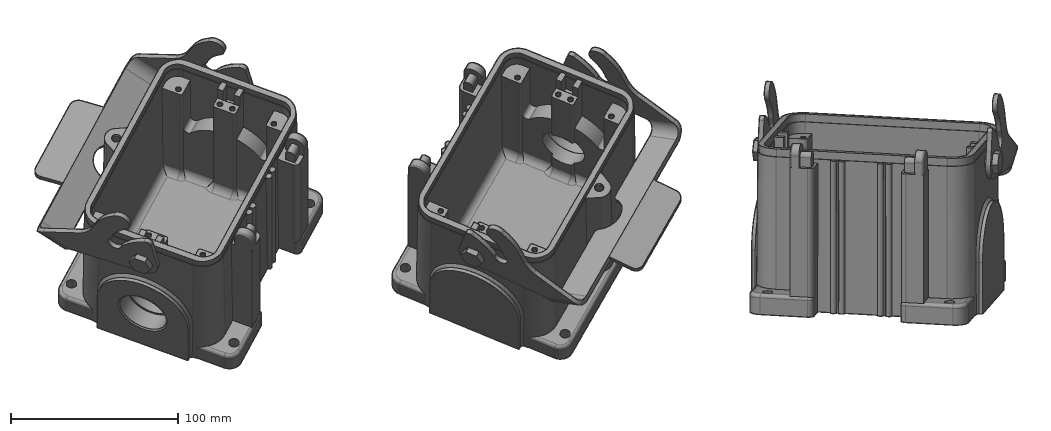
import cadquery as cq
import math

SLACK = 1.5

RIM_X, RIM_Y = 88.8, 131.5
RIM_CORNER = 13.5
BODY_TOP_Z = 94.0
RIM_TOP_Z = 98.8
BODY_STEP = 0.5
BODY_DRAFT = 0.6
CAVITY_X, CAVITY_Y = 81.0, 123.0
CAVITY_CORNER = 8.2
CAVITY_DRAFT = 0.5
RIM_RELIEF = 0.5
FLOOR_Z = 4.5
FLOOR_FILLET = 4.8

FLANGE_X, FLANGE_Y, FLANGE_Z = 118.8, 133.5, 12.6
FLANGE_CORNER = 7.8
FLANGE_EDGE_FILLET = 2.2
FLANGE_HOLE = 6.0
FLANGE_HOLE_X, FLANGE_HOLE_Y = 53.1, 55.6
NOTCH_X = 43.5
NOTCH_HALF_Y = 26.7

ENTRY_Z = 32.0
PAD_FACE_Y = 70.6
PAD_RADIUS = 29.7
PAD_FOOT = 1.8
PAD_FOOT_Y = 68.4
ENTRY_BORE, ENTRY_INNER_BORE = 30.5, 28.0
ENTRY_BORE_DEPTH = 12.3
ENTRY_CHAMFER = 0.9
INNER_BOSS_RADIUS = 27.8
INNER_BOSS_FILLET = 2.7
INNER_BOSS_Y = 51.0

POST_TOP_Z = 87.0
POST_FACE_Y = 49.0
POST_EDGE_FILLET = 1.4
CORNER_POST_X = 27.3
CENTRE_POST_HALF_X = 7.4
POST_HOLE, POST_HOLE_MOUTH = 2.5, 3.5
POST_HOLE_DEPTH = 15.0
POST_HOLE_Y = 52.4
CORNER_POST_HOLE_X = 31.2
CENTRE_POST_HOLE_X = 4.0
PRONG_TOP_Z = 96.3
PRONG_INNER_X = 3.6
PRONG_FACE_Y = 56.0
PRONG_SLOT_DEPTH = 6.0

GUIDE_X = -48.6
GUIDE_NOSE_RADIUS = 7.0
GUIDE_HALF_WIDTH = 10.6
GUIDE_DRAFT = 0.9
GUIDE_HOLE, GUIDE_HOLE_MOUTH = 4.4, 5.5
GUIDE_HOLE_DEPTH = 30.0

LUG_X = 52.5
LUG_RADIUS = 6.0
LUG_TOP_Z = 104.8
LUG_OUTER_Y, LUG_DISC_Y, LUG_INNER_Y = 41.0, 35.4, 26.7
LUG_EDGE_FILLET = 0.9
LUG_COLUMN_Z = 91.5
LUG_BARREL_RADIUS = 3.0
LUG_BARREL_TOP_Z = 100.4
LUG_BARREL_END_Y = 28.5
LUG_CORNER = 3.3
RIB_RADIUS = 2.0
RIB_X = 45.9
RIB_YS = (11.8, 17.0)

LEVER_THICK = 3.0
LEVER_OUTER_Y = 71.2
PIVOT_Z = 86.4
PIVOT_END_RADIUS = 10.2
PIVOT_DIAMETER = 8.2
PIVOT_END_Y = 64.5
HEX_FLATS = 12.3
HEX_TOP_Y = 75.0
BEND_TOP = (-64.6, 80.0)
BEND_BOTTOM = (-47.1, 72.2)
BEND_RADIUS = 9.9
WEB_OFFSET = 2.62
RELIEF_RADIUS = 12.0
RELIEF_OFFSET = 1.0
RELIEF_FILLET = 3.0
TAB_END_X = -90.2
TAB_TOP_Z = 72.3
TAB_HALF_Y = 30.3
TAB_CORNER = 5.4


def block(x_range, y_range, z_range):
    """Box between the given limits, in either order."""
    x0, x1 = sorted(x_range)
    y0, y1 = sorted(y_range)
    z0, z1 = sorted(z_range)
    return cq.Workplane("XY").box(x1 - x0, y1 - y0, z1 - z0, centered=False).translate((x0, y0, z0))


def rounded_block(size_x, size_y, corner, z0, z1):
    """Upright block centred on the Z axis with rounded vertical edges."""
    return block((-size_x / 2, size_x / 2), (-size_y / 2, size_y / 2), (z0, z1)).edges("|Z").fillet(corner)


def rod_z(diameter, x, y, z0, z1):
    return cq.Workplane("XY", origin=(x, y, z0)).circle(diameter / 2).extrude(z1 - z0)


def screw_hole(diameter, mouth, x, y, top_z, depth):
    """Cutting tool for a blind hole in Z with a 45 degree countersunk mouth."""
    countersink = (mouth - diameter) / 2
    cone = cq.Workplane("XY", origin=(x, y, top_z)).circle(mouth / 2).extrude(-countersink, taper=45)
    return rod_z(diameter, x, y, top_z - depth, top_z).union(cone)


def along_y(y0, y1):
    """XZ workplane at the lower of two Y limits, and the distance to the other one."""
    low, high = sorted((y0, y1))
    return cq.Workplane("XZ", origin=(0, low, 0)), low - high


def rod_y(diameter, x, z, y0, y1):
    plane, distance = along_y(y0, y1)
    return plane.center(x, z).circle(diameter / 2).extrude(distance)


def arch(x, z, radius, z_foot, y0, y1):
    """Tombstone shape: half disc of the given radius on straight legs down to z_foot."""
    plane, distance = along_y(y0, y1)
    outline = (
        plane.moveTo(x - radius, z_foot)
        .lineTo(x - radius, z)
        .threePointArc((x, z + radius), (x + radius, z))
        .lineTo(x + radius, z_foot)
        .close()
    )
    return outline.extrude(distance)


def body_shell():
    growth = 2 * (BODY_STEP + BODY_TOP_Z * math.tan(math.radians(BODY_DRAFT)))
    body = (
        cq.Workplane("XY")
        .sketch()
        .rect(RIM_X + growth, RIM_Y + growth)
        .vertices()
        .fillet(RIM_CORNER + growth / 2)
        .finalize()
        .extrude(BODY_TOP_Z, taper=BODY_DRAFT)
    )
    return body.union(rounded_block(RIM_X, RIM_Y, RIM_CORNER, BODY_TOP_Z, RIM_TOP_Z))


def flange():
    plate = rounded_block(FLANGE_X, FLANGE_Y, FLANGE_CORNER, 0, FLANGE_Z)
    notch = block((NOTCH_X, FLANGE_X), (-NOTCH_HALF_Y, NOTCH_HALF_Y), (-SLACK, FLANGE_Z + SLACK))
    plate = plate.cut(notch)
    notch_mouth = cq.selectors.BoxSelector((FLANGE_X / 2 - SLACK, -NOTCH_HALF_Y - SLACK, 0),
                                           (FLANGE_X / 2 + SLACK, NOTCH_HALF_Y + SLACK, FLANGE_Z))
    plate = plate.edges("|Z").edges(notch_mouth).fillet(LUG_CORNER)
    plate = plate.faces(">Z").edges().fillet(FLANGE_EDGE_FILLET)
    for x in (-FLANGE_HOLE_X, FLANGE_HOLE_X):
        for y in (-FLANGE_HOLE_Y, FLANGE_HOLE_Y):
            plate = plate.cut(rod_z(FLANGE_HOLE, x, y, -SLACK, FLANGE_Z + SLACK))
    return plate


def guide_column():
    """Drafted column with a round nose whose flanks run tangent into the -X wall."""
    shrink = BODY_TOP_Z * math.tan(math.radians(GUIDE_DRAFT))
    nose = GUIDE_NOSE_RADIUS + shrink
    half_width = GUIDE_HALF_WIDTH + shrink
    root_x = -RIM_X / 2
    root_distance = math.hypot(root_x - GUIDE_X, half_width)
    touch = math.atan2(half_width, root_x - GUIDE_X) + math.acos(nose / root_distance)
    touch_x = GUIDE_X + nose * math.cos(touch)
    touch_y = nose * math.sin(touch)
    inside_x = -CAVITY_X / 2 - SLACK
    return (
        cq.Workplane("XY")
        .moveTo(inside_x, half_width)
        .lineTo(root_x, half_width)
        .lineTo(touch_x, touch_y)
        .threePointArc((GUIDE_X - nose, 0), (touch_x, -touch_y))
        .lineTo(root_x, -half_width)
        .lineTo(inside_x, -half_width)
        .close()
        .extrude(BODY_TOP_Z, taper=GUIDE_DRAFT)
    )


def entry_pad(side):
    root_y = side * (CAVITY_Y / 2 + SLACK)
    pad = arch(0, ENTRY_Z, PAD_RADIUS, 0, root_y, side * PAD_FACE_Y)
    foot = arch(0, ENTRY_Z, PAD_RADIUS + PAD_FOOT, 0, root_y, side * PAD_FOOT_Y)
    foot = foot.faces("<Y" if side < 0 else ">Y").edges("not <Z").chamfer(PAD_FOOT)
    return pad.union(foot)


def hinge_lug(side):
    """Column with a round-topped hinge disc and a barrel that points toward mid-length."""
    column = block((NOTCH_X, LUG_X + LUG_RADIUS), (side * LUG_INNER_Y, side * LUG_OUTER_Y), (0, LUG_COLUMN_Z))
    column = column.edges("|Z and >X").edges(">Y" if side < 0 else "<Y").fillet(LUG_CORNER)
    disc = arch(LUG_X, LUG_TOP_Z - LUG_RADIUS, LUG_RADIUS, 0, side * LUG_DISC_Y, side * LUG_OUTER_Y)
    disc = disc.faces("<Y" if side < 0 else ">Y").edges("not <Z").fillet(LUG_EDGE_FILLET)
    barrel = arch(LUG_X, LUG_BARREL_TOP_Z - LUG_BARREL_RADIUS, LUG_BARREL_RADIUS, LUG_COLUMN_Z - SLACK,
                  side * LUG_BARREL_END_Y, side * (LUG_DISC_Y + SLACK))
    return column.union(disc).union(barrel)


def wall_ribs():
    ribs = cq.Workplane("XY")
    for y in RIB_YS:
        for side in (-1, 1):
            ribs = ribs.union(rod_z(2 * RIB_RADIUS, RIB_X, side * y, 0, BODY_TOP_Z))
    return ribs


WITHIN_CAVITY = cq.selectors.BoxSelector(
    (-CAVITY_X / 2, -CAVITY_Y / 2, 0), (CAVITY_X / 2, CAVITY_Y / 2, RIM_TOP_Z))


def cavity_posts(side):
    """Two corner posts and a centre post that carries a pair of prongs."""
    y_range = (side * POST_FACE_Y, side * (CAVITY_Y / 2 + SLACK))
    prong_y_range = (side * PRONG_FACE_Y, side * (CAVITY_Y / 2 + SLACK))
    wall_x = CAVITY_X / 2 + SLACK
    posts = block((-CENTRE_POST_HALF_X, CENTRE_POST_HALF_X), y_range, (0, POST_TOP_Z))
    for x_side in (-1, 1):
        posts = posts.union(block((x_side * CORNER_POST_X, x_side * wall_x), y_range, (0, POST_TOP_Z)))
    inner_face = ">Y" if side < 0 else "<Y"
    posts = posts.faces(inner_face).edges("|Z").edges(WITHIN_CAVITY).fillet(POST_EDGE_FILLET)
    posts = posts.cut(block((-PRONG_INNER_X, PRONG_INNER_X), prong_y_range,
                            (POST_TOP_Z - PRONG_SLOT_DEPTH, POST_TOP_Z)))
    for x_side in (-1, 1):
        posts = posts.union(block((x_side * PRONG_INNER_X, x_side * CENTRE_POST_HALF_X),
                                  prong_y_range, (0, PRONG_TOP_Z)))
    return posts


def post_holes():
    holes = cq.Workplane("XY")
    for x in (CENTRE_POST_HOLE_X, CORNER_POST_HOLE_X):
        for x_side in (-1, 1):
            for y_side in (-1, 1):
                holes = holes.union(screw_hole(POST_HOLE, POST_HOLE_MOUTH, x_side * x, y_side * POST_HOLE_Y,
                                               POST_TOP_Z, POST_HOLE_DEPTH))
    return holes


def inner_boss(side):
    """Arched boss behind an entry pad that fills the bay between the corner posts."""
    fillet_x = CORNER_POST_X - INNER_BOSS_FILLET
    fillet_z = ENTRY_Z + math.sqrt((INNER_BOSS_RADIUS + INNER_BOSS_FILLET) ** 2 - fillet_x ** 2)
    share = INNER_BOSS_RADIUS / (INNER_BOSS_RADIUS + INNER_BOSS_FILLET)
    touch_x = fillet_x * share
    touch_z = ENTRY_Z + (fillet_z - ENTRY_Z) * share
    turn = (math.atan2(touch_z - fillet_z, touch_x - fillet_x)) / 2
    middle_x = fillet_x + INNER_BOSS_FILLET * math.cos(turn)
    middle_z = fillet_z + INNER_BOSS_FILLET * math.sin(turn)
    plane, distance = along_y(side * INNER_BOSS_Y, side * (CAVITY_Y / 2 + SLACK))
    outline = (
        plane.moveTo(-CORNER_POST_X, 0)
        .lineTo(-CORNER_POST_X, fillet_z)
        .threePointArc((-middle_x, middle_z), (-touch_x, touch_z))
        .threePointArc((0, ENTRY_Z + INNER_BOSS_RADIUS), (touch_x, touch_z))
        .threePointArc((middle_x, middle_z), (CORNER_POST_X, fillet_z))
        .lineTo(CORNER_POST_X, 0)
        .close()
    )
    return outline.extrude(distance)


def boss_foot(side):
    """Concave floor fillet along the foot of an inner boss, from corner post to corner post."""
    face_y = side * INNER_BOSS_Y
    toe_y = side * (INNER_BOSS_Y - FLOOR_FILLET)
    inset = FLOOR_FILLET * (1 - math.sqrt(0.5))
    foot = (
        cq.Workplane("YZ", origin=(-CORNER_POST_X, 0, 0))
        .moveTo(face_y, FLOOR_Z)
        .lineTo(toe_y, FLOOR_Z)
        .threePointArc((face_y - side * inset, FLOOR_Z + inset), (face_y, FLOOR_Z + FLOOR_FILLET))
        .close()
    )
    return foot.extrude(2 * CORNER_POST_X)


def cavity():
    """Inside space: filleted floor edge, posts and the blind bosses behind both entry pads."""
    space = (
        cq.Workplane("XY", origin=(0, 0, BODY_TOP_Z))
        .sketch()
        .rect(CAVITY_X, CAVITY_Y)
        .vertices()
        .fillet(CAVITY_CORNER)
        .finalize()
        .extrude(FLOOR_Z - BODY_TOP_Z, taper=CAVITY_DRAFT)
    )
    relief = 2 * RIM_RELIEF
    space = space.union(rounded_block(CAVITY_X + relief, CAVITY_Y + relief, CAVITY_CORNER + RIM_RELIEF,
                                      BODY_TOP_Z, RIM_TOP_Z + SLACK))
    for side in (-1, 1):
        space = space.cut(cavity_posts(side))
    space = space.faces("<Z").edges().fillet(FLOOR_FILLET)
    for side in (-1, 1):
        space = space.cut(inner_boss(side)).cut(boss_foot(side))
    return space


def entry_bore():
    """Stepped, chamfered bore through the -Y wall and the post behind it."""
    step_y = -PAD_FACE_Y + ENTRY_BORE_DEPTH
    outer = rod_y(ENTRY_BORE, 0, ENTRY_Z, -PAD_FACE_Y, step_y)
    inner = rod_y(ENTRY_INNER_BORE, 0, ENTRY_Z, step_y, -POST_FACE_Y + SLACK)
    mouth = (
        cq.Workplane("XZ", origin=(0, -PAD_FACE_Y, 0))
        .center(0, ENTRY_Z)
        .circle(ENTRY_BORE / 2 + ENTRY_CHAMFER)
        .extrude(-ENTRY_CHAMFER, taper=45)
    )
    return outer.union(inner).union(mouth)


def make_housing():
    shell = body_shell().union(flange()).union(guide_column()).union(wall_ribs())
    for side in (-1, 1):
        shell = shell.union(entry_pad(side)).union(hinge_lug(side))
    shell = shell.cut(cavity()).cut(post_holes()).cut(entry_bore())
    shell = shell.cut(screw_hole(GUIDE_HOLE, GUIDE_HOLE_MOUTH, GUIDE_X, 0, BODY_TOP_Z, GUIDE_HOLE_DEPTH))
    for side in (-1, 1):
        shell = shell.cut(rod_y(PIVOT_DIAMETER, 0, PIVOT_Z, side * PIVOT_END_Y, side * LEVER_OUTER_Y))
    return shell


BEND_LENGTH = math.dist(BEND_TOP, BEND_BOTTOM)
SLOPE_X = (BEND_BOTTOM[0] - BEND_TOP[0]) / BEND_LENGTH
SLOPE_Z = (BEND_BOTTOM[1] - BEND_TOP[1]) / BEND_LENGTH


def side_plate(side):
    """Flat hooked plate with a finger, a catch slot and a rounded pivot end."""
    plane, distance = along_y(side * (LEVER_OUTER_Y - LEVER_THICK), side * LEVER_OUTER_Y)
    outline = (
        plane.moveTo(*BEND_TOP)
        .lineTo(-39.9, 93.2)
        .threePointArc((-36.2, 96.6), (-33.6, 100.5))
        .lineTo(-29.5, 109.6)
        .threePointArc((-25.5, 116.4), (-18.8, 122.8))
        .threePointArc((-12.3, 124.2), (-10.2, 114.3))
        .threePointArc((-16.0, 108.3), (-19.6, 100.5))
        .lineTo(-22.0, 96.3)
        .threePointArc((-18.5, 90.5), (-13.6, 93.9))
        .threePointArc((-7.5, 101.4), (1.2, 107.4))
        .threePointArc((4.0, 107.8), (5.8, 105.9))
        .lineTo(PIVOT_END_RADIUS, PIVOT_Z)
        .threePointArc((8.0, 80.0), (1.8, 76.4))
        .lineTo(*BEND_BOTTOM)
        .close()
    )
    return outline.extrude(distance)


def bend_point(start, along, out):
    """Point (X, Z) reached from an end of the bend line, along the bend line and then outward."""
    return (start[0] + SLOPE_X * along + SLOPE_Z * out, start[1] + SLOPE_Z * along - SLOPE_X * out)


def web_plane():
    """Plane across the bend line: local x is Y, local y leads from the web to the side plates."""
    x, z = bend_point(BEND_TOP, -WEB_OFFSET, 0)
    return cq.Plane(origin=(x, 0, z), xDir=(0, 1, 0), normal=(SLOPE_X, 0, SLOPE_Z))


def bail(half_width, radius):
    """Solid U profile with rounded corners, open at the bend line, swept down the bend line."""
    flat = half_width - radius
    corner = radius * math.sqrt(0.5)
    return (
        cq.Workplane(web_plane())
        .moveTo(-half_width, 0)
        .threePointArc((-flat - corner, -corner), (-flat, -radius))
        .lineTo(flat, -radius)
        .threePointArc((flat + corner, -corner), (half_width, 0))
        .close()
        .extrude(BEND_LENGTH + WEB_OFFSET)
    )


def web_profile():
    """Side outline of the web: its curved ends lead from the bend line to the offset web."""
    bulge_along = -0.85 * WEB_OFFSET
    bulge_out = 0.42 * BEND_RADIUS
    inner_face = BEND_RADIUS - LEVER_THICK
    plane, distance = along_y(-LEVER_OUTER_Y, LEVER_OUTER_Y)
    outline = (
        plane.moveTo(*BEND_TOP)
        .threePointArc(bend_point(BEND_TOP, bulge_along, bulge_out),
                       bend_point(BEND_TOP, -WEB_OFFSET, inner_face))
        .lineTo(*bend_point(BEND_TOP, -WEB_OFFSET, BEND_RADIUS))
        .lineTo(*bend_point(BEND_BOTTOM, -WEB_OFFSET, BEND_RADIUS))
        .lineTo(*bend_point(BEND_BOTTOM, -WEB_OFFSET, inner_face))
        .threePointArc(bend_point(BEND_BOTTOM, bulge_along, bulge_out), BEND_BOTTOM)
        .close()
    )
    return outline.extrude(distance)


def web():
    """Bent strip that joins the two side plates, with a round cut-out in its lower edge."""
    strip = bail(LEVER_OUTER_Y, BEND_RADIUS)
    strip = strip.cut(bail(LEVER_OUTER_Y - LEVER_THICK, BEND_RADIUS - LEVER_THICK))
    strip = strip.intersect(web_profile())
    relief_x, relief_z = bend_point(BEND_BOTTOM, RELIEF_OFFSET - WEB_OFFSET, 0)
    relief_plane = cq.Plane(origin=(relief_x, 0, relief_z),
                            xDir=(0, 1, 0), normal=(SLOPE_Z, 0, -SLOPE_X))
    relief = cq.Workplane(relief_plane).circle(RELIEF_RADIUS).extrude(BEND_RADIUS + SLACK)
    strip = strip.cut(relief)
    rims = cq.selectors.BoxSelector((-90, -13.5, 45), (-30, 13.5, 90))
    lips = strip.edges(rims).edges(cq.selectors.ParallelDirSelector(cq.Vector(SLOPE_Z, 0, -SLOPE_X)))
    return lips.fillet(RELIEF_FILLET)


def thumb_tab():
    """Flat tab that leaves the upper edge of the web toward -X."""
    web_low = bend_point(BEND_TOP, -WEB_OFFSET, BEND_RADIUS)
    web_high = bend_point(BEND_TOP, -WEB_OFFSET, BEND_RADIUS - LEVER_THICK)
    plane, distance = along_y(-TAB_HALF_Y, TAB_HALF_Y)
    tab = plane.polyline([web_low, web_high, (TAB_END_X, TAB_TOP_Z),
                          (TAB_END_X, TAB_TOP_Z - LEVER_THICK)]).close().extrude(distance)
    return tab.faces("<X").edges("|Z").fillet(TAB_CORNER)


def pivot_bolt(side):
    head_plane, head_distance = along_y(side * LEVER_OUTER_Y, side * HEX_TOP_Y)
    across_corners = HEX_FLATS / math.cos(math.radians(30))
    head = head_plane.center(0, PIVOT_Z).polygon(6, across_corners).extrude(head_distance)
    return head.union(rod_y(PIVOT_DIAMETER, 0, PIVOT_Z, side * PIVOT_END_Y, side * LEVER_OUTER_Y))


def make_lever():
    lever = web().union(thumb_tab())
    for side in (-1, 1):
        lever = lever.union(side_plate(side)).union(pivot_bolt(side))
    return lever


housing = make_housing()
lever = make_lever()
result = cq.Compound.makeCompound([housing.solids().val(), lever.solids().val()])